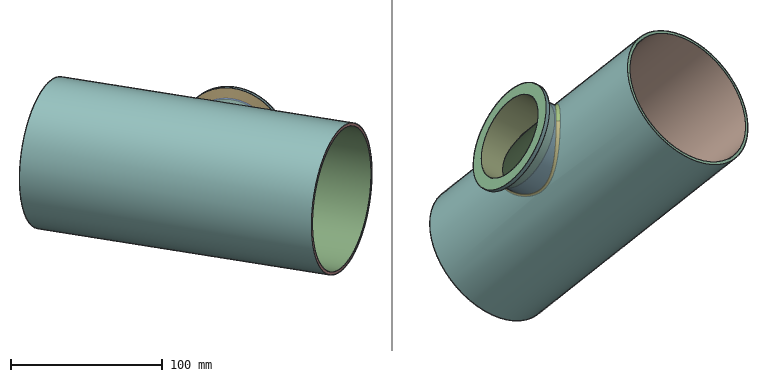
import cadquery as cq

pipe_length = 209.55
pipe_outer_diameter = 101.6
pipe_inner_diameter = 97.38

branch_outer_diameter = 63.5
branch_inner_diameter = 60.2
branch_face_y = 66.675

flange_diameter = 77.39
flange_rim_thickness = 2.85
flange_total_thickness = 5.35
flange_root_fillet = 0.8
ferrule_length = 12.7

weld_radius = 2.0

pipe_radius = pipe_outer_diameter / 2
branch_radius = branch_outer_diameter / 2
flange_radius = flange_diameter / 2
ferrule_joint_y = branch_face_y - ferrule_length


def cylinder_along_x(diameter):
    return cq.Workplane("YZ").circle(diameter / 2).extrude(pipe_length / 2, both=True)


def cylinder_along_y(diameter, length):
    """Cylinder that starts on the pipe axis and runs towards +Y."""
    return cq.Workplane("XZ").circle(diameter / 2).extrude(-length)


def make_welded_pipes():
    """Solid main pipe and plain branch pipe, joined by the weld fillet."""
    branch = cylinder_along_y(branch_outer_diameter, ferrule_joint_y)
    body = cylinder_along_x(pipe_outer_diameter).union(branch)
    joint_box = cq.selectors.BoxSelector(
        (-branch_radius - weld_radius, 0, -branch_radius - weld_radius),
        (branch_radius + weld_radius, pipe_radius + weld_radius, branch_radius + weld_radius),
        boundingbox=True,
    )
    return body.edges(joint_box).fillet(weld_radius)


def make_ferrule():
    """Solid clamp ferrule: straight neck, conical back and cylindrical rim."""
    rim_back_y = branch_face_y - flange_rim_thickness
    cone_root_y = branch_face_y - flange_total_thickness
    ferrule = (
        cq.Workplane("XY")
        .moveTo(0, ferrule_joint_y)
        .lineTo(branch_radius, ferrule_joint_y)
        .lineTo(branch_radius, cone_root_y)
        .lineTo(flange_radius, rim_back_y)
        .lineTo(flange_radius, branch_face_y)
        .lineTo(0, branch_face_y)
        .close()
        .revolve(360, (0, 0, 0), (0, 1, 0))
    )
    cone_root = cq.selectors.NearestToPointSelector((0, cone_root_y, 0))
    return ferrule.edges(cone_root).fillet(flange_root_fillet)


def make_tee():
    outside = make_welded_pipes().union(make_ferrule(), clean=False)
    pipe_bore = cylinder_along_x(pipe_inner_diameter)
    branch_bore = cylinder_along_y(branch_inner_diameter, branch_face_y)
    return outside.cut(pipe_bore, clean=False).cut(branch_bore, clean=False)


result = make_tee()